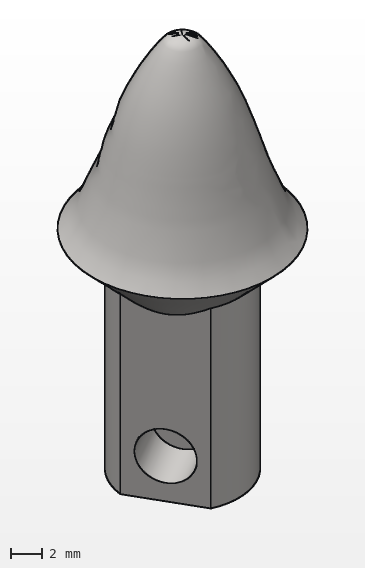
import cadquery as cq

total_height = 33.5
rim_diameter = 16.0
shank_diameter = 9.98
shank_height = 15.5
flat_offset = 4.0
hole_diameter = 4.15
hole_height = 3.52
hole_depth = flat_offset

rim_radius = rim_diameter / 2
shank_radius = shank_diameter / 2
rim_height = shank_height + rim_radius - shank_radius

bell_points = [(1.7, 32.5), (3.35, 29.68), (4.95, 25.43), (6.5, 20.97)]


def make_shank():
    """Round shank with one flat facing -Y."""
    shank = cq.Workplane("XY").circle(shank_radius).extrude(shank_height)
    flat_cutter = cq.Workplane("XY").box(
        shank_diameter, shank_diameter, shank_height, centered=(True, False, False)
    ).translate((0, -flat_offset - shank_diameter, 0))
    return shank.cut(flat_cutter)


def make_head():
    """Revolved bell whose lower cone runs down to meet the shank flat."""
    cone_bottom = shank_height - (shank_radius - flat_offset)
    return (
        cq.Workplane("XZ")
        .moveTo(0, cone_bottom)
        .lineTo(flat_offset, cone_bottom)
        .lineTo(rim_radius, rim_height)
        .spline(
            bell_points[::-1] + [(0, total_height)],
            tangents=[(-1, 1), (-1, 0)],
            includeCurrent=True,
        )
        .close()
        .revolve(360, (0, 0, 0), (0, 1, 0))
    )


def make_hole():
    """Blind cross hole entering from the flat."""
    return (
        cq.Workplane("XZ", origin=(0, -flat_offset, hole_height))
        .circle(hole_diameter / 2)
        .extrude(-hole_depth)
    )


result = make_shank().union(make_head()).cut(make_hole())